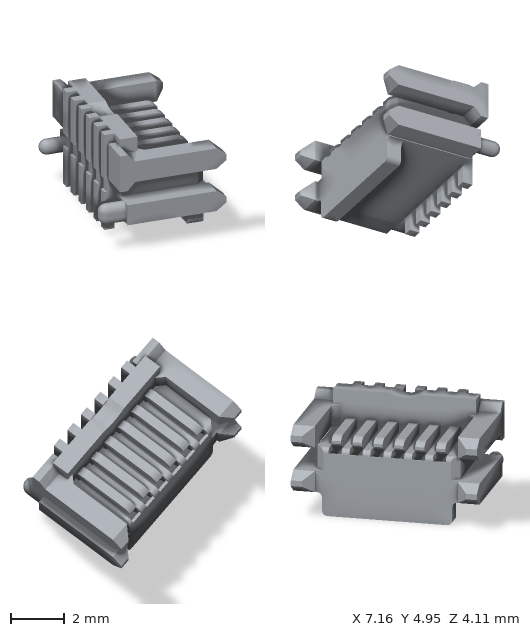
import cadquery as cq
import math


total_width = 7.16
total_height = 4.11
body_width = 5.5
body_bottom = 0.91
wall_depth = 0.7
shelf_depth = 3.43
shelf_top = 2.655
shelf_edge_radius = 0.21
shelf_corner = 0.3

tongue_width = 5.005
tongue_depth = 0.61
tongue_radius = 0.2

notch_width = 1.225
notch_depth = 0.15

contact_count = 6
contact_pitch = 0.8
contact_width = 0.36
pin_front = -0.41
pin_bottom = 0.2
recess_front = -0.31
recess_bottom = 1.755
recess_top = 2.285

blade_top = 3.07
blade_bottom = 2.62
blade_tip = 3.22
nose_length = 0.35
nose_flat = 0.115
root_radius = 0.64
root_length = 0.345
slot_width = 0.5
slot_lip = 2.435
slot_lip_depth = 0.11
slot_end_radius = 0.4

arm_end = 3.94
arm_tip_length = 0.4
arm_tip_bevel = 0.3
upper_arm_bottom = 2.68
upper_arm_top = 3.52
lower_arm_bottom = 0.94
lower_arm_top = 1.76
gusset_size = 0.285

pad_width = 1.22
pad_depth = 0.31
pad_bottom = 2.35
pad_top = 3.82

post_diameter = 0.6
post_tip = -1.01
post_x = 3.14
post_z = 1.345
oblong_post_height = 0.8

half_width = total_width / 2
body_half = body_width / 2
arm_width = half_width - body_half
contact_places = [(i - (contact_count - 1) / 2) * contact_pitch for i in range(contact_count)]


def box(x_range, y_range, z_range):
    """Box between the given limits on each axis."""
    size = [high - low for low, high in (x_range, y_range, z_range)]
    corner = (x_range[0], y_range[0], z_range[0])
    return cq.Workplane("XY").box(*size, centered=False).translate(corner)


def side_plane(x):
    """Workplane whose local axes are Y and Z, extruding towards +X from x."""
    return cq.Workplane("YZ", origin=(x, 0, 0))


def mirror_pair(solid):
    """The solid joined with its mirror image across X = 0."""
    return solid.union(solid.mirror("YZ"))


def arc_rise(radius, run):
    """Drop of an arc from its tangent line after the given run."""
    return radius - math.sqrt(radius ** 2 - run ** 2)


def make_shelf():
    """Block that carries the contacts, rounded at its top rear edge."""
    shelf = box((-body_half, body_half), (0, shelf_depth), (body_bottom, shelf_top))
    shelf = shelf.edges(">Y and >Z").fillet(shelf_edge_radius)
    corner = (
        cq.Workplane("XY", origin=(0, 0, lower_arm_top))
        .moveTo(body_half, shelf_depth)
        .lineTo(body_half - shelf_corner, shelf_depth)
        .lineTo(body_half, shelf_depth - shelf_corner)
        .close()
        .extrude(shelf_top - lower_arm_top)
    )
    return shelf.cut(mirror_pair(corner))


def make_wall():
    """Upright wall in front of the shelf with an arc notch in its top."""
    wall = box((-body_half, body_half), (0, wall_depth), (body_bottom, total_height))
    notch = (
        cq.Workplane("XZ")
        .moveTo(-notch_width / 2, total_height)
        .threePointArc((0, total_height - notch_depth), (notch_width / 2, total_height))
        .close()
        .extrude(-wall_depth)
    )
    return wall.cut(notch)


def make_tongue():
    """Locating tongue with rounded lower corners and flared upper corners."""
    half = tongue_width / 2
    diagonal = tongue_radius * math.sqrt(0.5)
    flare_center = (half + tongue_radius, body_bottom - tongue_radius)
    round_center = (half - tongue_radius, tongue_radius)
    half_tongue = (
        cq.Workplane("XZ", origin=(0, shelf_depth, 0))
        .moveTo(0, body_bottom)
        .lineTo(flare_center[0], body_bottom)
        .threePointArc((flare_center[0] - diagonal, flare_center[1] + diagonal), (half, flare_center[1]))
        .lineTo(half, round_center[1])
        .threePointArc((round_center[0] + diagonal, round_center[1] - diagonal), (round_center[0], 0))
        .lineTo(0, 0)
        .close()
        .extrude(tongue_depth)
    )
    return mirror_pair(half_tongue)


def make_slot(x):
    """Cutter for the slot below a blade; its floor curves up to a low lip at the rear."""
    end = shelf_depth - slot_lip_depth
    floor = slot_lip - slot_end_radius
    diagonal = slot_end_radius * math.sqrt(0.5)
    return (
        side_plane(x - slot_width / 2)
        .moveTo(wall_depth, shelf_top)
        .lineTo(wall_depth, floor)
        .lineTo(end - slot_end_radius, floor)
        .threePointArc((end - slot_end_radius + diagonal, slot_lip - diagonal), (end, slot_lip))
        .lineTo(shelf_depth, slot_lip)
        .lineTo(shelf_depth, shelf_top)
        .close()
        .extrude(slot_width)
    )


def make_blade(x):
    """Horizontal contact blade with a blunt rounded nose and a top that bends down at the wall."""
    nose_drop = (blade_top - blade_bottom - nose_flat) / 2
    nose_radius = (nose_length ** 2 + nose_drop ** 2) / (2 * nose_drop)
    nose_start = blade_tip - nose_length
    nose_middle = nose_start + nose_length / 2
    middle_drop = arc_rise(nose_radius, nose_length / 2)
    root_start = wall_depth + root_length
    root_middle = wall_depth + root_length / 2
    return (
        side_plane(x - contact_width / 2)
        .moveTo(wall_depth, blade_bottom)
        .lineTo(nose_start, blade_bottom)
        .threePointArc((nose_middle, blade_bottom + middle_drop), (blade_tip, blade_bottom + nose_drop))
        .lineTo(blade_tip, blade_top - nose_drop)
        .threePointArc((nose_middle, blade_top - middle_drop), (nose_start, blade_top))
        .lineTo(root_start, blade_top)
        .threePointArc(
            (root_middle, blade_top - arc_rise(root_radius, root_length / 2)),
            (wall_depth, blade_top - arc_rise(root_radius, root_length)),
        )
        .close()
        .extrude(contact_width)
    )


def make_pin(x):
    """Vertical pin on the front face with a shallow recess."""
    sides = (x - contact_width / 2, x + contact_width / 2)
    pin = box(sides, (pin_front, 0), (pin_bottom, total_height))
    return pin.cut(box(sides, (pin_front, recess_front), (recess_bottom, recess_top)))


def make_arm(bottom, top):
    """Latch arm on the +X side, tapered at the tip from above, below and inside."""
    tip_start = arm_end - arm_tip_length
    profile = [
        (0, bottom),
        (tip_start, bottom),
        (arm_end, bottom + arm_tip_bevel),
        (arm_end, top - arm_tip_bevel),
        (tip_start, top),
        (0, top),
    ]
    arm = side_plane(body_half).polyline(profile).close().extrude(arm_width)
    inner_bevel = (
        cq.Workplane("XY", origin=(0, 0, bottom))
        .polyline([(body_half, tip_start), (body_half + arm_tip_length, arm_end), (body_half, arm_end)])
        .close()
        .extrude(top - bottom)
    )
    return arm.cut(inner_bevel)


def make_upper_arm():
    """Upper arm with its front pad, the flare behind the pad and the gusset to the wall."""
    flare_run = pad_top - upper_arm_top
    flare_profile = [
        (0, pad_bottom),
        (flare_run, upper_arm_bottom),
        (flare_run, upper_arm_top),
        (0, pad_top),
    ]
    flare = side_plane(body_half).polyline(flare_profile).close().extrude(arm_width)
    pad = box((half_width - pad_width, half_width), (-pad_depth, 0), (pad_bottom, pad_top))
    gusset = (
        cq.Workplane("XY", origin=(0, 0, upper_arm_bottom))
        .moveTo(body_half, wall_depth)
        .lineTo(body_half - gusset_size, wall_depth)
        .lineTo(body_half, wall_depth + gusset_size)
        .close()
        .extrude(upper_arm_top - upper_arm_bottom)
    )
    return make_arm(upper_arm_bottom, upper_arm_top).union(flare).union(pad).union(gusset)


def post_half_profile(workplane):
    """Half section of a post, from its axis along Y out to its side, with a quarter-round tip."""
    radius = post_diameter / 2
    shank_end = post_tip + radius
    diagonal = radius * math.sqrt(0.5)
    return (
        workplane.lineTo(radius, 0)
        .lineTo(radius, shank_end)
        .threePointArc((diagonal, shank_end - diagonal), (0, post_tip))
        .close()
    )


def make_round_post(x, z):
    """Locating post with a hemispherical tip."""
    workplane = cq.Workplane("XY", origin=(x, 0, z))
    return post_half_profile(workplane).revolve(360, (0, 0), (0, 1))


def make_oblong_post(x, z):
    """Round post split at mid height, with a straight stretch along Z between the halves."""
    stretch = oblong_post_height - post_diameter
    half_section = post_half_profile(cq.Workplane("XY", origin=(0, 0, -stretch / 2))).extrude(stretch)
    middle = mirror_pair(half_section).translate((x, 0, z))
    post = make_round_post(x, z)
    reach = post_diameter
    x_range = (x - reach, x + reach)
    y_range = (post_tip, 0)
    upper = post.intersect(box(x_range, y_range, (z, z + reach))).translate((0, 0, stretch / 2))
    lower = post.intersect(box(x_range, y_range, (z - reach, z))).translate((0, 0, -stretch / 2))
    return middle.union(upper).union(lower)


result = make_shelf()
for contact_x in contact_places:
    result = result.cut(make_slot(contact_x))
result = result.union(make_wall()).union(make_tongue())
result = result.union(mirror_pair(make_upper_arm()))
result = result.union(mirror_pair(make_arm(lower_arm_bottom, lower_arm_top)))
for contact_x in contact_places:
    result = result.union(make_pin(contact_x)).union(make_blade(contact_x))
result = result.union(make_round_post(-post_x, post_z))
result = result.union(make_oblong_post(post_x, post_z))
result = result.solids()